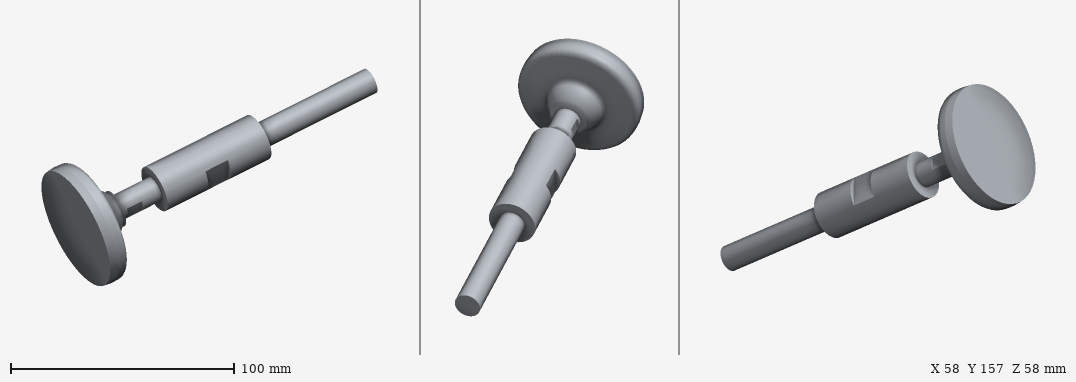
import cadquery as cq
import math

TOTAL_LENGTH = 157.0

PAD_MAX_RADIUS = 57.98 / 2
PAD_BASE_RADIUS = 28.5
PAD_SHOULDER_RADIUS = 28.75
PARTING_HEIGHT = 4.0
SHOULDER_HEIGHT = 9.6
SHOULDER_FILLET = 3.0
PAD_SLOPE = math.radians(8.5)
DOME_RADIUS = 13.6
DOME_CENTRE_HEIGHT = 9.2
DOME_TOP_RADIUS = 8.0
DOME_FILLET = 2.5

STEM_DIAMETER = 12.0
STEM_ACROSS_FLATS = 10.0
STEM_FLAT_START = 24.0
STEM_FLAT_LENGTH = 8.0
COLLAR_RADIUS = 8.8
COLLAR_UNDERCUT_HEIGHT = 1.0
COLLAR_CROWN_HEIGHT = 1.0
COLLAR_CROWN_BULGE = 0.15

SLEEVE_DIAMETER = 22.0
SLEEVE_START = 42.0
SLEEVE_LENGTH = 55.2
SLEEVE_ACROSS_FLATS = 17.0
SLEEVE_FLAT_LENGTH = 12.0

TOLERANCE = 1e-3

SEAT_HEIGHT = DOME_CENTRE_HEIGHT + math.sqrt(DOME_RADIUS**2 - DOME_TOP_RADIUS**2)


def revolve_about_y(profile):
    return profile.close().revolve(360, (0, 0, 0), (0, 1, 0))


def cylinder(diameter, start, length):
    """Cylinder along +Y that begins at the height start."""
    plane = cq.Plane(origin=(0, start, 0), xDir=(1, 0, 0), normal=(0, 1, 0))
    return cq.Workplane(plane).circle(diameter / 2).extrude(length)


def cut_wrench_flats(body, diameter, across_flats, start, length):
    """Cut two opposite flats, facing -X and +X."""
    depth = (diameter - across_flats) / 2
    for side in (-1, 1):
        cutter = cq.Workplane("XY").box(depth, length, diameter)
        body = body.cut(cutter.translate((side * (across_flats + depth) / 2, start + length / 2, 0)))
    return body


def dome_foot():
    """Radius and height where the sloped upper face meets the dome."""
    slope = math.tan(PAD_SLOPE)
    rise = SHOULDER_HEIGHT + slope * PAD_SHOULDER_RADIUS - DOME_CENTRE_HEIGHT
    a = 1 + slope**2
    half_b = slope * rise
    c = rise**2 - DOME_RADIUS**2
    radius = (half_b + math.sqrt(half_b**2 - a * c)) / a
    return radius, DOME_CENTRE_HEIGHT + rise - slope * radius


def fillet_circle(body, height, radius):
    """Round the circular edge at the given height."""
    circles = [edge for edge in body.edges("%CIRCLE").vals() if abs(edge.Center().y - height) < TOLERANCE]
    return body.newObject(circles).fillet(radius)


def make_pad():
    foot_radius, foot_height = dome_foot()
    foot_angle = math.asin((foot_height - DOME_CENTRE_HEIGHT) / DOME_RADIUS)
    top_angle = math.acos(DOME_TOP_RADIUS / DOME_RADIUS)
    mid_angle = (foot_angle + top_angle) / 2
    dome_mid = (
        DOME_RADIUS * math.cos(mid_angle),
        DOME_CENTRE_HEIGHT + DOME_RADIUS * math.sin(mid_angle),
    )
    profile = (
        cq.Workplane("XY")
        .lineTo(PAD_BASE_RADIUS, 0)
        .lineTo(PAD_MAX_RADIUS, PARTING_HEIGHT)
        .lineTo(PAD_SHOULDER_RADIUS, SHOULDER_HEIGHT)
        .lineTo(foot_radius, foot_height)
        .threePointArc(dome_mid, (DOME_TOP_RADIUS, SEAT_HEIGHT))
        .lineTo(0, SEAT_HEIGHT)
    )
    pad = revolve_about_y(profile)
    pad = fillet_circle(pad, SHOULDER_HEIGHT, SHOULDER_FILLET)
    return fillet_circle(pad, foot_height, DOME_FILLET)


def make_stem():
    stem_radius = STEM_DIAMETER / 2
    rim_height = SEAT_HEIGHT + COLLAR_UNDERCUT_HEIGHT
    crown_top = rim_height + COLLAR_CROWN_HEIGHT
    profile = (
        cq.Workplane("XY")
        .moveTo(0, SEAT_HEIGHT)
        .lineTo(DOME_TOP_RADIUS, SEAT_HEIGHT)
        .lineTo(COLLAR_RADIUS, rim_height)
        .sagittaArc((stem_radius, crown_top), -COLLAR_CROWN_BULGE)
        .lineTo(stem_radius, TOTAL_LENGTH)
        .lineTo(0, TOTAL_LENGTH)
    )
    stem = revolve_about_y(profile)
    return cut_wrench_flats(stem, STEM_DIAMETER, STEM_ACROSS_FLATS, STEM_FLAT_START, STEM_FLAT_LENGTH)


def make_sleeve():
    sleeve = cylinder(SLEEVE_DIAMETER, SLEEVE_START, SLEEVE_LENGTH)
    sleeve = sleeve.cut(cylinder(STEM_DIAMETER, SLEEVE_START, SLEEVE_LENGTH))
    flat_start = SLEEVE_START + (SLEEVE_LENGTH - SLEEVE_FLAT_LENGTH) / 2
    return cut_wrench_flats(sleeve, SLEEVE_DIAMETER, SLEEVE_ACROSS_FLATS, flat_start, SLEEVE_FLAT_LENGTH)


pad = make_pad()
stem = make_stem()
sleeve = make_sleeve()

result = cq.Compound.makeCompound([pad.val(), stem.val(), sleeve.val()])